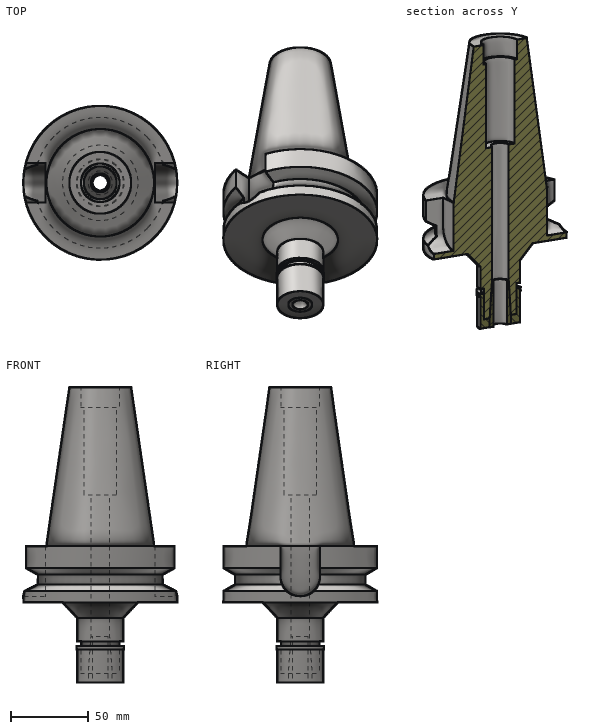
import cadquery as cq
import math


gauge_radius = 69.85 / 2
taper_length = 101.8
taper_ratio = 7 / 24
taper_end_radius = gauge_radius - taper_length * taper_ratio / 2

flange_radius = 50.0
flange_top = -1.5
flange_bottom = -38.0
groove_radius = 42.5
groove_center = -23.2
groove_floor_width = 6.4
groove_flank_angle = 30.0
groove_mouth_width = (groove_floor_width
                      + 2 * (flange_radius - groove_radius) * math.tan(math.radians(groove_flank_angle)))

slot_width = 25.7
slot_floor_x = 35.4
slot_bottom = -34.0

neck_radius = 15.0
neck_cone_top_radius = 24.5
neck_cone_bottom = -48.0
neck_bottom = -63.2
nose_radius = 12.5
nose_bottom = -84.0

pilot_radius = 12.5
pilot_depth = 13.2
thread_bore_radius = 10.7
thread_bore_depth = 70.0
coolant_radius = 6.1

nut_radius = 15.0
nut_top = -66.2
nut_bottom = -90.0
nut_collar_radius = 15.5
nut_collar_height = 2.2

collet_bore_radius = 5.0
collet_top = -60.0
collet_half_angle = 4.0
collet_top_radius = coolant_radius
collet_cone_length = collet_top - nose_bottom
collet_front_radius = collet_top_radius + collet_cone_length * math.tan(math.radians(collet_half_angle))


def revolve_profile(points):
    """Turn a closed (radius, height) outline around the Z axis."""
    return cq.Workplane("XZ").polyline(points).close().revolve(360, (0, 0), (0, 1))


def cylinder(radius, bottom, top):
    return cq.Workplane("XY").workplane(offset=bottom).circle(radius).extrude(top - bottom)


def make_collet_envelope():
    """Outer shape of the collet: a cone in the nose, a cylinder through the nut face."""
    return revolve_profile([
        (0, collet_top),
        (collet_top_radius, collet_top),
        (collet_front_radius, nose_bottom),
        (collet_front_radius, nut_bottom),
        (0, nut_bottom),
    ])


def make_drive_slot():
    """Round-ended slot cutter on the +X side, open at the flange top and rim."""
    slot_radius = slot_width / 2
    arc_center_z = slot_bottom + slot_radius
    return (
        cq.Workplane("YZ").workplane(offset=slot_floor_x)
        .moveTo(-slot_radius, flange_top)
        .lineTo(-slot_radius, arc_center_z)
        .threePointArc((0, slot_bottom), (slot_radius, arc_center_z))
        .lineTo(slot_radius, flange_top)
        .close()
        .extrude(flange_radius)
    )


def make_holder():
    mouth_half = groove_mouth_width / 2
    floor_half = groove_floor_width / 2
    body = revolve_profile([
        (0, taper_length),
        (taper_end_radius, taper_length),
        (gauge_radius, 0),
        (gauge_radius, flange_top),
        (flange_radius, flange_top),
        (flange_radius, groove_center + mouth_half),
        (groove_radius, groove_center + floor_half),
        (groove_radius, groove_center - floor_half),
        (flange_radius, groove_center - mouth_half),
        (flange_radius, flange_bottom),
        (neck_cone_top_radius, flange_bottom),
        (neck_radius, neck_cone_bottom),
        (neck_radius, neck_bottom),
        (nose_radius, neck_bottom),
        (nose_radius, nose_bottom),
        (0, nose_bottom),
    ])
    slot = make_drive_slot()
    for side_angle in (0, 180):
        body = body.cut(slot.rotate((0, 0, 0), (0, 0, 1), side_angle))
    body = body.cut(cylinder(pilot_radius, taper_length - pilot_depth, taper_length))
    body = body.cut(cylinder(thread_bore_radius, taper_length - thread_bore_depth, taper_length))
    body = body.cut(cylinder(coolant_radius, collet_top, taper_length))
    return body.cut(make_collet_envelope())


def make_nut():
    """Cup screwed over the nose, with a thin collar at its upper rim."""
    nut = cylinder(nut_radius, nut_bottom, nut_top)
    nut = nut.union(cylinder(nut_collar_radius, nut_top - nut_collar_height, nut_top))
    nut = nut.cut(cylinder(nose_radius, nose_bottom, nut_top))
    return nut.cut(cylinder(collet_front_radius, nut_bottom, nose_bottom))


def make_collet():
    return make_collet_envelope().cut(cylinder(collet_bore_radius, nut_bottom, collet_top))


holder = make_holder()
nut = make_nut()
collet = make_collet()

result = cq.Compound.makeCompound([
    holder.solids().val(),
    nut.solids().val(),
    collet.solids().val(),
])